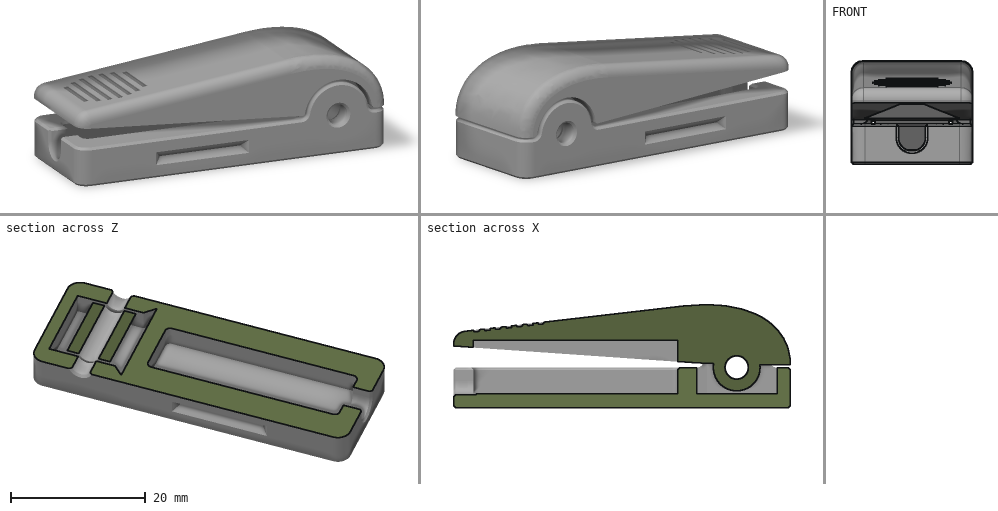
import cadquery as cq
import math

WIDTH = 18.0
HALF_WIDTH = WIDTH / 2
LENGTH = 50.0
HALF_LENGTH = LENGTH / 2
EDGE_CHAMFER = 0.35
PICK_MARGIN = 0.05

BASE_HEIGHT = 6.0
BASE_CORNER_RADIUS = 2.0
FLOOR_HEIGHT = 2.15
END_WALL = 3.0
CAVITY_FRONT = -HALF_LENGTH + END_WALL
CAVITY_BACK = 8.25
CAVITY_HALF_WIDTH = 4.35
CAVITY_CORNER_RADIUS = 0.75

HINGE_Y = 17.0
HINGE_Z = BASE_HEIGHT
EAR_RADIUS = 5.0
EAR_FOOT_RADIUS = 1.0
EAR_THICKNESS = 3.0
EAR_INNER_X = HALF_WIDTH - EAR_THICKNESS
CLEARANCE = 0.5
KNUCKLE_HALF_WIDTH = EAR_INNER_X - CLEARANCE
KNUCKLE_RADIUS = 3.5
EAR_BORE_DIAMETER = 3.15
KNUCKLE_BORE_DIAMETER = 3.4
BORE_MOUTH_DIAMETER = 3.85
POCKET_BACK = HALF_LENGTH - BASE_CORNER_RADIUS
FLARE_SIZE = 1.5
FLARE_BACK = 12.6

CABLE_SLOT_RADIUS = 2.0
CABLE_SLOT_AXIS_Z = 4.0

NOTCH_LENGTH = 15.0
NOTCH_HEIGHT = 2.0
NOTCH_DEPTH = NOTCH_HEIGHT / 2
NOTCH_CENTER_Y = -5.0
NOTCH_CENTER_Z = 3.0

TIP_BOTTOM_Z = 9.15
TIP_TOP_Z = 11.2
HEEL_GAP = 0.4
HEEL_BOTTOM_Z = BASE_HEIGHT + HEEL_GAP
TOP_JOINT_Y = 9.15
TOP_JOINT_Z = 15.15
HEEL_RISE_PULL = 5.75
HEEL_TOP_PULL = 10.25
UNDERSIDE_END_Y = 11.1
UNDERSIDE_END_Z = 6.65
LEVER_FILLET = 1.75
TIP_FILLET = 2.0
TOP_SLOPE = (TOP_JOINT_Z - TIP_TOP_Z) / (TOP_JOINT_Y + HALF_LENGTH)

RECESS_FRONT_HALF_WIDTH = 1.75
RECESS_BACK_HALF_WIDTH = 7.0
RECESS_ROOF_Z = 10.0

GROOVE_WIDTH = 0.75
GROOVE_DEPTH = 0.25
GROOVE_PITCH = 1.6
GRIP_CENTER_Y = -16.8
GROOVE_LENGTHS = (7.7, 9.85, 11.0, 11.65, 11.0, 9.85, 7.7)


def box_between(x_min, x_max, y_min, y_max, z_min, z_max):
    size = (x_max - x_min, y_max - y_min, z_max - z_min)
    return cq.Workplane("XY").box(*size, centered=False).translate((x_min, y_min, z_min))


def extrude_across(profile, x_min, x_max):
    """Extrude a closed profile drawn on the YZ plane between two X positions."""
    return profile.extrude(x_max - x_min).translate((x_min, 0, 0))


def hinge_cylinder(radius, x_min, x_max):
    circle = cq.Workplane("YZ").center(HINGE_Y, HINGE_Z).circle(radius)
    return extrude_across(circle, x_min, x_max)


def ear_profile(radius, foot_radius, foot_z):
    """Half-round ear about the hinge, blended by concave feet into the level foot_z."""
    foot_center_z = foot_z + foot_radius
    rise = foot_center_z - HINGE_Z
    foot_reach = math.sqrt((radius + foot_radius) ** 2 - rise ** 2)
    share = radius / (radius + foot_radius)
    tangent_y = foot_reach * share
    tangent_z = HINGE_Z + rise * share
    to_circle = math.atan2(-rise, -foot_reach)
    middle_angle = (to_circle - math.pi / 2) / 2
    middle_y = foot_reach + foot_radius * math.cos(middle_angle)
    middle_z = foot_center_z + foot_radius * math.sin(middle_angle)
    return (
        cq.Workplane("YZ")
        .moveTo(HINGE_Y - foot_reach, foot_z)
        .threePointArc((HINGE_Y - middle_y, middle_z), (HINGE_Y - tangent_y, tangent_z))
        .threePointArc((HINGE_Y, HINGE_Z + radius), (HINGE_Y + tangent_y, tangent_z))
        .threePointArc((HINGE_Y + middle_y, middle_z), (HINGE_Y + foot_reach, foot_z))
    )


def base_blank():
    """Block with a full-width half-round hump and all outer edges chamfered."""
    block = box_between(-HALF_WIDTH, HALF_WIDTH, -HALF_LENGTH, HALF_LENGTH, 0, BASE_HEIGHT)
    block = block.edges("|Z").fillet(BASE_CORNER_RADIUS)
    hump = ear_profile(EAR_RADIUS, EAR_FOOT_RADIUS, BASE_HEIGHT)
    hump = hump.lineTo(HINGE_Y, FLOOR_HEIGHT).close()
    blank = block.union(extrude_across(hump, -HALF_WIDTH, HALF_WIDTH))
    blank = blank.faces("<Z").edges().chamfer(EDGE_CHAMFER)
    above_rim = cq.selectors.BoxSelector(
        (-WIDTH, -LENGTH, BASE_HEIGHT - EDGE_CHAMFER / 2), (WIDTH, LENGTH, LENGTH))
    crossing = cq.selectors.BoxSelector(
        (-PICK_MARGIN, EDGE_CHAMFER - HALF_LENGTH, 0),
        (PICK_MARGIN, HALF_LENGTH - EDGE_CHAMFER, LENGTH))
    return blank.edges(above_rim - crossing).chamfer(EDGE_CHAMFER)


def base_cavity():
    """Rounded rectangular cavity with a chamfered mouth."""
    length = CAVITY_BACK - CAVITY_FRONT
    center_y = (CAVITY_BACK + CAVITY_FRONT) / 2

    def rounded_rectangle(growth, height):
        outline = cq.Workplane("XY").center(0, center_y)
        outline = outline.rect(2 * (CAVITY_HALF_WIDTH + growth), length + 2 * growth).extrude(height)
        return outline.edges("|Z").fillet(CAVITY_CORNER_RADIUS + growth)

    body = rounded_rectangle(0, BASE_HEIGHT - FLOOR_HEIGHT).translate((0, 0, FLOOR_HEIGHT))
    mouth = rounded_rectangle(EDGE_CHAMFER, 2 * EDGE_CHAMFER)
    mouth = mouth.faces("<Z").edges().chamfer(EDGE_CHAMFER)
    return body.union(mouth.translate((0, 0, BASE_HEIGHT - EDGE_CHAMFER)))


def knuckle_pocket():
    """Pocket between the ears, widening at 45 degrees towards its front wall."""
    half_plan = [
        (EAR_INNER_X, POCKET_BACK),
        (EAR_INNER_X, FLARE_BACK),
        (EAR_INNER_X + FLARE_SIZE, FLARE_BACK - FLARE_SIZE),
    ]
    mirrored = [(-x, y) for x, y in reversed(half_plan)]
    pocket = cq.Workplane("XY").polyline(half_plan + mirrored).close()
    return pocket.extrude(2 * BASE_HEIGHT).translate((0, 0, FLOOR_HEIGHT))


def cable_slot():
    """Round-bottomed slot through the front wall with chamfered outer and top edges."""
    def slot_solid(radius, y_min, y_max):
        bore = cq.Workplane("XZ").center(0, CABLE_SLOT_AXIS_Z).circle(radius)
        bore = bore.extrude(y_min - y_max).translate((0, y_min, 0))
        return bore.union(box_between(-radius, radius, y_min, y_max, CABLE_SLOT_AXIS_Z, BASE_HEIGHT))

    slot = slot_solid(CABLE_SLOT_RADIUS, -HALF_LENGTH, CAVITY_FRONT + EDGE_CHAMFER)
    wide_radius = CABLE_SLOT_RADIUS + EDGE_CHAMFER
    flared_mouth = slot_solid(wide_radius, -HALF_LENGTH - EDGE_CHAMFER, EDGE_CHAMFER - HALF_LENGTH)
    flared_mouth = flared_mouth.faces(">Y").edges("not >Z").chamfer(EDGE_CHAMFER)
    top_chamfer = (
        cq.Workplane("XZ")
        .polyline([
            (-wide_radius, BASE_HEIGHT),
            (-CABLE_SLOT_RADIUS, BASE_HEIGHT - EDGE_CHAMFER),
            (CABLE_SLOT_RADIUS, BASE_HEIGHT - EDGE_CHAMFER),
            (wide_radius, BASE_HEIGHT),
        ])
        .close()
        .extrude(-END_WALL)
        .translate((0, -HALF_LENGTH, 0))
    )
    return slot.union(flared_mouth).union(top_chamfer)


def side_notch(side):
    """V-shaped notch with sloped ends, cut into the side at X = side * HALF_WIDTH."""
    ridge_length = NOTCH_LENGTH - 2 * NOTCH_DEPTH
    plan = cq.Workplane("XY").polyline([
        (HALF_WIDTH, NOTCH_CENTER_Y - NOTCH_LENGTH / 2),
        (HALF_WIDTH - NOTCH_DEPTH, NOTCH_CENTER_Y - ridge_length / 2),
        (HALF_WIDTH - NOTCH_DEPTH, NOTCH_CENTER_Y + ridge_length / 2),
        (HALF_WIDTH, NOTCH_CENTER_Y + NOTCH_LENGTH / 2),
    ]).close()
    tapered_bar = plan.extrude(NOTCH_HEIGHT).translate((0, 0, NOTCH_CENTER_Z - NOTCH_HEIGHT / 2))
    wedge = cq.Workplane("XZ").polyline([
        (HALF_WIDTH, NOTCH_CENTER_Z - NOTCH_HEIGHT / 2),
        (HALF_WIDTH - NOTCH_DEPTH, NOTCH_CENTER_Z),
        (HALF_WIDTH, NOTCH_CENTER_Z + NOTCH_HEIGHT / 2),
    ]).close().extrude(LENGTH / 2, both=True)
    notch = tapered_bar.intersect(wedge)
    return notch if side > 0 else notch.mirror("YZ")


def ear_bores():
    return hinge_cylinder(EAR_BORE_DIAMETER / 2, -HALF_WIDTH, HALF_WIDTH)


def bore_mouth(side):
    """Chamfer cone at the outer end of the bore in one ear."""
    mouth_radius = BORE_MOUTH_DIAMETER / 2
    bore_radius = EAR_BORE_DIAMETER / 2
    outer_center = cq.Vector(side * HALF_WIDTH, HINGE_Y, HINGE_Z)
    inward = cq.Vector(-side, 0, 0)
    cone = cq.Solid.makeCone(mouth_radius, bore_radius, mouth_radius - bore_radius, outer_center, inward)
    return cq.Workplane(cone)


def make_base():
    """Base block with its ears, cavity, knuckle pocket and openings."""
    base = base_blank().cut(base_cavity()).cut(knuckle_pocket()).cut(cable_slot()).cut(ear_bores())
    for side in (-1, 1):
        base = base.cut(side_notch(side)).cut(bore_mouth(side))
    return base


def lever_blank():
    """Full-width wedge with a curved heel and rounded upper edges."""
    heel_start = (HALF_LENGTH, HEEL_BOTTOM_Z)
    heel_end = (TOP_JOINT_Y, TOP_JOINT_Z)
    heel_pull = (HALF_LENGTH, HEEL_BOTTOM_Z + HEEL_RISE_PULL)
    top_pull = (TOP_JOINT_Y + HEEL_TOP_PULL, TOP_JOINT_Z + HEEL_TOP_PULL * TOP_SLOPE)
    profile = (
        cq.Workplane("YZ")
        .moveTo(*heel_start)
        .bezier([heel_start, heel_pull, top_pull, heel_end])
        .lineTo(-HALF_LENGTH, TIP_TOP_Z)
        .lineTo(-HALF_LENGTH, TIP_BOTTOM_Z)
        .lineTo(UNDERSIDE_END_Y, UNDERSIDE_END_Z)
        .lineTo(HINGE_Y, HEEL_BOTTOM_Z)
        .close()
    )
    blank = extrude_across(profile, -HALF_WIDTH, HALF_WIDTH)
    blank = blank.faces("<Y").edges(">Z").fillet(TIP_FILLET)
    upper_edges = cq.selectors.BoxSelector(
        (-WIDTH, -LENGTH, TIP_BOTTOM_Z + PICK_MARGIN), (WIDTH, LENGTH, LENGTH))
    crossing = cq.selectors.BoxSelector((-PICK_MARGIN, -LENGTH, 0), (PICK_MARGIN, LENGTH, LENGTH))
    return blank.edges(upper_edges - crossing).fillet(LEVER_FILLET)


def ear_clearance(side):
    """Room for the ear on one side of the knuckle."""
    profile = ear_profile(EAR_RADIUS + CLEARANCE, EAR_FOOT_RADIUS - HEEL_GAP, HEEL_BOTTOM_Z)
    profile = profile.lineTo(HINGE_Y, FLOOR_HEIGHT).close()
    clearance = extrude_across(profile, KNUCKLE_HALF_WIDTH, HALF_WIDTH)
    return clearance if side > 0 else clearance.mirror("YZ")


def knuckle():
    return hinge_cylinder(KNUCKLE_RADIUS, -KNUCKLE_HALF_WIDTH, KNUCKLE_HALF_WIDTH)


def knuckle_bore():
    return hinge_cylinder(KNUCKLE_BORE_DIAMETER / 2, -KNUCKLE_HALF_WIDTH, KNUCKLE_HALF_WIDTH)


def underside_recess():
    """Recess in the underside that narrows towards the tip."""
    plan = cq.Workplane("XY").polyline([
        (-RECESS_FRONT_HALF_WIDTH, CAVITY_FRONT),
        (RECESS_FRONT_HALF_WIDTH, CAVITY_FRONT),
        (RECESS_BACK_HALF_WIDTH, CAVITY_BACK),
        (-RECESS_BACK_HALF_WIDTH, CAVITY_BACK),
    ]).close()
    return plan.extrude(RECESS_ROOF_Z)


def grip_grooves():
    """Row of grooves square to the sloped top, longest in the middle."""
    center_z = TIP_TOP_Z + (GRIP_CENTER_Y + HALF_LENGTH) * TOP_SLOPE
    top_plane = cq.Plane(
        origin=(0, GRIP_CENTER_Y, center_z), xDir=(1, 0, 0), normal=(0, -TOP_SLOPE, 1))
    middle_index = (len(GROOVE_LENGTHS) - 1) / 2
    grooves = cq.Workplane(top_plane)
    for index, groove_length in enumerate(GROOVE_LENGTHS):
        offset = (index - middle_index) * GROOVE_PITCH
        groove = cq.Workplane(top_plane).center(0, offset).rect(groove_length, GROOVE_WIDTH)
        grooves = grooves.add(groove.extrude(-GROOVE_DEPTH))
    return grooves.combine()


def make_lever():
    """Lever with the knuckle that turns between the ears."""
    lever = lever_blank()
    for side in (-1, 1):
        lever = lever.cut(ear_clearance(side))
    lever = lever.union(knuckle()).cut(knuckle_bore())
    return lever.cut(underside_recess()).cut(grip_grooves())


base = make_base()
lever = make_lever()
result = cq.Compound.makeCompound([base.solids().val(), lever.solids().val()])